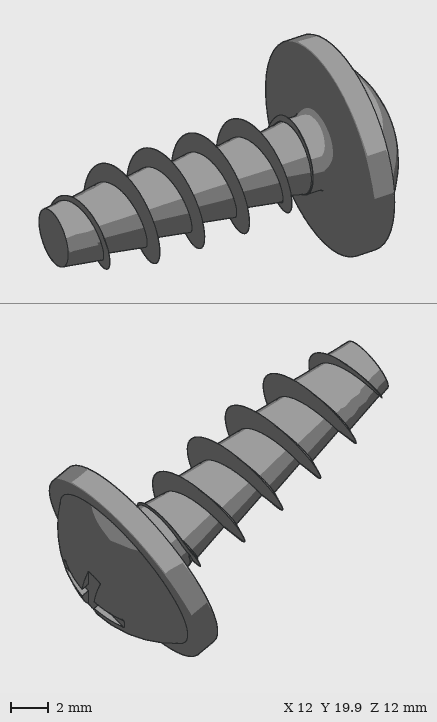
import cadquery as cq
import math


flange_radius = 6.0
flange_thickness = 1.35
flange_edge_round = 0.12
dome_base_radius = 5.05
dome_height = 2.59
slot_width = 0.95
slot_floor = 3.46

shank_length = 16.0
collar_radius = 2.07
neck_fillet = 0.78
collar_end = -1.52
tip_radius = 1.62
tip_taper_length = 3.2
dish_radius = 1.53
dish_depth = 0.2

pitch = 2.7
crest_radius = 3.0
flank_half_angle = 15.0
thread_root_radius = 1.55
tip_growth = 0.96
head_fade_start = 4.35
head_fade = 0.6
thread_turns = 6.0

groove_floor_radius = 1.64
groove_rim_radius = 2.03
groove_outer_radius = 2.6
groove_margin = 0.17
groove_width = pitch - groove_margin
groove_fade_start = 4.75
groove_turns = 5.3

max_face_turn = 0.5
face_steps = 10

tip_y = -shank_length
start_angle = math.pi


def crest_y(turn):
    """Position of the crest along the axis; the last turn stays level with the end of the collar."""
    return min(tip_y + pitch * turn, collar_end)


def crest_r(turn):
    """Crest radius: grows from the tip, runs full, then fades toward the head."""
    growing = tip_radius + tip_growth * turn
    fading = crest_radius - head_fade * (turn - head_fade_start)
    return min(growing, crest_radius, fading)


def thread_section(turn):
    """Triangular tooth as (radius, y) corners, rooted inside the core."""
    y = crest_y(turn)
    crest = crest_r(turn)
    root = thread_root_radius
    half_width = (crest - root) * math.tan(math.radians(flank_half_angle))
    return [(crest, y), (root, y + half_width), (root, y - half_width)]


def groove_section(turn):
    """Sloping cut as (radius, y) corners, from the thread up to the next turn or the collar."""
    deep_y = tip_y + pitch * turn
    rim_y = min(deep_y + groove_width, collar_end)
    fade = max(0.0, (turn - groove_fade_start) / (groove_turns - groove_fade_start))
    floor = groove_floor_radius + fade * (groove_rim_radius - groove_floor_radius)
    return [
        (floor, deep_y),
        (groove_rim_radius, rim_y),
        (groove_outer_radius, rim_y),
        (groove_outer_radius, deep_y),
    ]


def point_on_turn(corner, turn):
    radius, y = corner
    angle = start_angle + 2 * math.pi * turn
    return cq.Vector(radius * math.sin(angle), y, radius * math.cos(angle))


def helical_faces(section, start, end):
    """Ruled faces traced by the sides of a section between two turns."""
    stations = [start + (end - start) * i / face_steps for i in range(face_steps + 1)]
    rings = [[point_on_turn(corner, t) for corner in section(t)] for t in stations]
    edges = [cq.Edge.makeSpline(list(path), parameters=stations) for path in zip(*rings)]
    return [cq.Face.makeRuledSurface(edges[i - 1], edges[i]) for i in range(len(edges))]


def end_face(section, turn):
    corners = [point_on_turn(corner, turn) for corner in section(turn)]
    return cq.Face.makeFromWires(cq.Wire.makePolygon(corners, close=True))


def helical_solid(section, turns):
    """Solid traced around the Y axis by a section that is given as a function of the turn."""
    count = math.ceil(turns / max_face_turn)
    faces = [end_face(section, 0), end_face(section, turns)]
    for i in range(count):
        faces += helical_faces(section, turns * i / count, turns * (i + 1) / count)
    return cq.Workplane(cq.Solid.makeSolid(cq.Shell.makeShell(faces)).fix())


def turned_body():
    """Head, collar and core in one revolved outline, with the dished tip."""
    dome_radius = (dome_base_radius**2 + dome_height**2) / (2 * dome_height)
    half_sweep = math.asin(dome_base_radius / dome_radius) / 2
    dome_top = flange_thickness + dome_height
    dome_mid = (
        dome_radius * math.sin(half_sweep),
        dome_top - dome_radius * (1 - math.cos(half_sweep)),
    )
    bend = neck_fillet * (1 - math.sqrt(0.5))
    edge = flange_edge_round
    outline = (
        cq.Workplane("XY")
        .moveTo(0, tip_y + dish_depth)
        .lineTo(dish_radius, tip_y)
        .lineTo(tip_radius, tip_y)
        .lineTo(collar_radius, tip_y + tip_taper_length)
        .lineTo(collar_radius, -neck_fillet)
        .threePointArc((collar_radius + bend, -bend), (collar_radius + neck_fillet, 0))
        .lineTo(flange_radius - edge, 0)
        .radiusArc((flange_radius, edge), -edge)
        .lineTo(flange_radius, flange_thickness - edge)
        .radiusArc((flange_radius - edge, flange_thickness), -edge)
        .lineTo(dome_base_radius, flange_thickness)
        .threePointArc(dome_mid, (0, dome_top))
        .close()
    )
    return outline.revolve(360, (0, 0, 0), (0, 1, 0))


def cross_slot():
    """Two crossing slots, level with the floor and open across the dome."""
    length = 2 * flange_radius
    slot = cq.Workplane("XY").box(length, dome_height, slot_width)
    slot = slot.translate((0, slot_floor + dome_height / 2, 0))
    return slot.union(slot.rotate((0, 0, 0), (0, 1, 0), 90))


def tip_trim():
    """Block beyond the tip plane that removes the thread end standing past it."""
    size = 2 * crest_radius
    return cq.Workplane("XY").box(size, size, size).translate((0, tip_y - size / 2, 0))


body = turned_body().cut(cross_slot())
body = body.cut(helical_solid(groove_section, groove_turns))
thread = helical_solid(thread_section, thread_turns).cut(tip_trim())
result = body.union(thread)